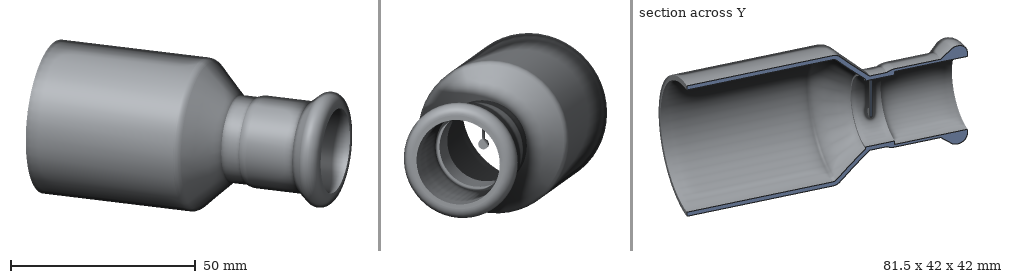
import cadquery as cq
import math

length = 81.5
tube_dia = 42.0
tube_bore_dia = 39.0
tube_length = 42.4
tube_radius = tube_dia / 2
tube_bore_radius = tube_bore_dia / 2
wall = tube_radius - tube_bore_radius

taper_angle = math.radians(43.5)
bend_radius = 2.85
taper_bore_end_radius = 22.2 / 2

neck_radius = 24.0 / 2
neck_bore_radius = 21.0 / 2
neck_end_x = 58.0

socket_radius = 25.3 / 2
socket_bore_radius = 23.2 / 2
socket_start_x = 60.4
bead_start_x = 73.7
bead_round_radius = 2.9
bead_crest_radius = 15.8

marker_disc_radius = 2.8 / 2
marker_stem_width = 0.7
marker_thickness = 0.8


def arc_point(center, radius, angle):
    """Point on a profile circle, with the angle measured from the axial direction."""
    return center[0] + radius * math.cos(angle), center[1] + radius * math.sin(angle)


def taper_end_x(start, end_radius):
    """Axial position where a taper beginning at start shrinks to end_radius."""
    return start[0] + (start[1] - end_radius) / math.tan(taper_angle)


bend_center = (tube_length, tube_radius - bend_radius)
bend_end_angle = math.pi / 2 - taper_angle
bend_mid_angle = math.pi / 2 - taper_angle / 2
bend_bore_radius = bend_radius - wall
taper_start = arc_point(bend_center, bend_radius, bend_end_angle)
taper_bore_start = arc_point(bend_center, bend_bore_radius, bend_end_angle)
neck_start_x = taper_end_x(taper_start, neck_radius)
neck_bore_start_x = taper_end_x(taper_bore_start, taper_bore_end_radius)


def make_fitting():
    """Revolve the wall section; the bore steps in at the neck and out at the socket."""
    shoulder_run = socket_start_x - neck_end_x
    shoulder_rise = socket_radius - neck_radius
    shoulder_arc_radius = (shoulder_run**2 + shoulder_rise**2) / (2 * shoulder_rise)
    shoulder_center = (socket_start_x, socket_radius - shoulder_arc_radius)
    shoulder_sweep = math.asin(shoulder_run / shoulder_arc_radius)
    shoulder_mid = arc_point(shoulder_center, shoulder_arc_radius, math.pi / 2 + shoulder_sweep / 2)

    bead_center = (length - bead_round_radius, bead_crest_radius - bead_round_radius)
    bead_arc_start = arc_point(bead_center, bead_round_radius, math.radians(135))
    bead_crest = (bead_center[0], bead_crest_radius)

    profile = (
        cq.Workplane("XY")
        .moveTo(0, tube_bore_radius)
        .lineTo(0, tube_radius)
        .lineTo(tube_length, tube_radius)
        .threePointArc(arc_point(bend_center, bend_radius, bend_mid_angle), taper_start)
        .lineTo(neck_start_x, neck_radius)
        .lineTo(neck_end_x, neck_radius)
        .threePointArc(shoulder_mid, (socket_start_x, socket_radius))
        .lineTo(bead_start_x, socket_radius)
        .lineTo(*bead_arc_start)
        .threePointArc(bead_crest, (length, bead_center[1]))
        .lineTo(length, socket_bore_radius)
        .lineTo(socket_start_x, socket_bore_radius)
        .lineTo(socket_start_x, neck_bore_radius)
        .lineTo(neck_bore_start_x, neck_bore_radius)
        .lineTo(neck_bore_start_x, taper_bore_end_radius)
        .lineTo(*taper_bore_start)
        .threePointArc(
            arc_point(bend_center, bend_bore_radius, bend_mid_angle),
            (tube_length, tube_bore_radius),
        )
        .close()
    )
    return profile.revolve(360, (0, 0, 0), (1, 0, 0))


def make_marker():
    """Disc on the axis with a stem up to the neck bore, whose curve trims the stem's end."""
    plane = cq.Workplane("YZ", origin=(neck_start_x, 0, 0))
    disc = plane.circle(marker_disc_radius).extrude(marker_thickness)
    stem = (
        plane.center(0, neck_bore_radius / 2)
        .rect(marker_stem_width, neck_bore_radius)
        .extrude(marker_thickness)
    )
    bore_space = plane.circle(neck_bore_radius).extrude(marker_thickness)
    return disc.union(stem).intersect(bore_space)


fitting = make_fitting()
marker = make_marker()
result = cq.Compound.makeCompound([fitting.val(), *marker.solids().vals()])